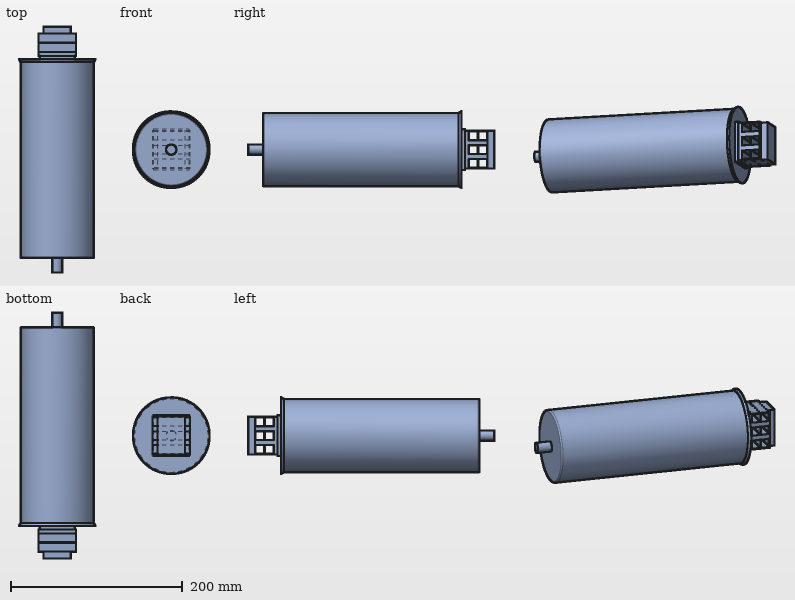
import cadquery as cq

overall_length = 286.5
stud_length = 17.0
terminal_length = 34.0
neck_length = 4.0
can_length = overall_length - stud_length - terminal_length - neck_length

can_diameter = 85.5
rim_diameter = 89.5
rim_length = 3.5
base_fillet = 1.75
stud_diameter = 12.0

neck_width = 41.0
neck_height = 47.5

terminal_width = 44.0
terminal_height = 44.0
head_width = 32.0
head_length = 7.8

window_rows = 3
rail_height = 6.0
skin_thickness = 1.0
divider_thickness = 1.0
window_span = 21.2
shoulder_wall = 0.5

can_back = can_length
neck_back = can_back + neck_length
terminal_back = neck_back + terminal_length
shoulder = terminal_back - head_length


def block(width, height, y_start, y_end):
    """Box centred on the Y axis between two Y positions."""
    length = y_end - y_start
    return cq.Workplane("XY").box(width, length, height).translate((0, y_start + length / 2, 0))


def make_can():
    """Revolved can with a rounded base edge, a flared rim and a stud."""
    can_radius = can_diameter / 2
    return (
        cq.Workplane("XY")
        .moveTo(0, -stud_length)
        .lineTo(stud_diameter / 2, -stud_length)
        .lineTo(stud_diameter / 2, 0)
        .lineTo(can_radius - base_fillet, 0)
        .radiusArc((can_radius, base_fillet), -base_fillet)
        .lineTo(can_radius, can_back - rim_length)
        .lineTo(rim_diameter / 2, can_back)
        .lineTo(0, can_back)
        .close()
        .revolve(360, (0, 0, 0), (0, 1, 0))
    )


def make_windows():
    """Two columns of openings side by side along Y, leaving a thin wall at the shoulder."""
    clear_height = terminal_height - 2 * skin_thickness
    window_height = (clear_height - (window_rows - 1) * rail_height) / window_rows
    column_length = (window_span - divider_thickness) / 2
    windows_back = shoulder - shoulder_wall
    windows_front = windows_back - window_span
    columns = (
        (windows_front, windows_front + column_length),
        (windows_back - column_length, windows_back),
    )
    windows = cq.Workplane("XY")
    for row in range(window_rows):
        z_center = (row - (window_rows - 1) / 2) * (window_height + rail_height)
        for y_start, y_end in columns:
            window = block(terminal_width, window_height, y_start, y_end)
            windows = windows.add(window.translate((0, 0, z_center)))
    return windows.combine()


def make_terminal():
    """Stepped terminal block on its neck."""
    neck = block(neck_width, neck_height, can_back, neck_back)
    body = block(terminal_width, terminal_height, neck_back, shoulder)
    head = block(head_width, terminal_height, shoulder, terminal_back)
    return neck.union(body).union(head).cut(make_windows())


result = make_can().union(make_terminal())